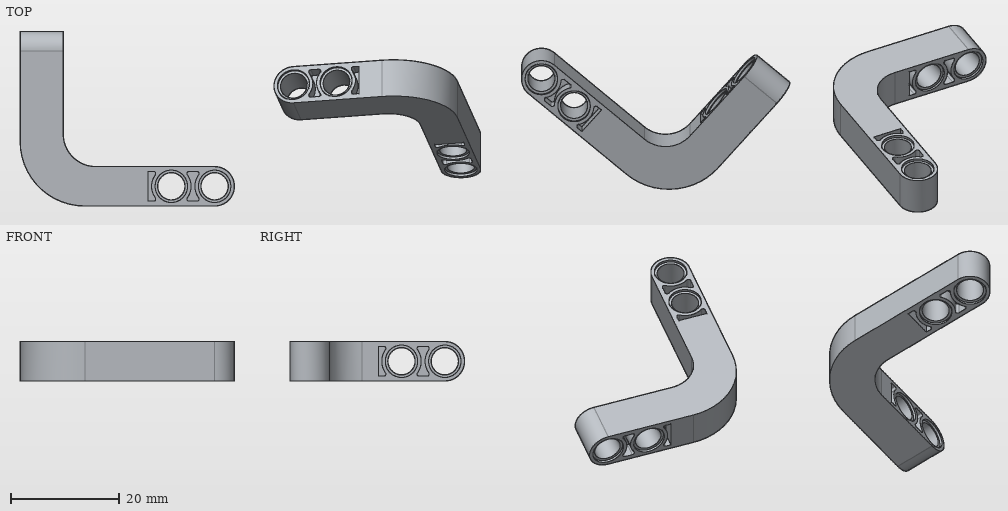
import cadquery as cq

length_x = 39.7
length_y = 32.35
height = 7.35

arm_x_width = height
arm_y_width = 8.0
outer_bend_radius = 12.0
inner_bend_radius = 6.0
end_radius = height / 2

hole_pitch = 8.0
hole_diameter = 5.0
counterbore_diameter = 6.0
counterbore_depth = 0.48
hole_positions = (0, hole_pitch)

collar_radius = 3.65
pocket_width = 5.5
pocket_reach = 4.3
pocket_depth = 2.7
pocket_corner_radius = 0.4


def bent_beam():
    """L-shaped slab with a rounded bend, trimmed to a full round at each arm's end."""
    slab = (
        cq.Workplane("XY")
        .moveTo(outer_bend_radius, 0)
        .lineTo(length_x - end_radius, 0)
        .threePointArc((length_x, end_radius), (length_x - end_radius, arm_x_width))
        .lineTo(arm_y_width + inner_bend_radius, arm_x_width)
        .radiusArc((arm_y_width, arm_x_width + inner_bend_radius), inner_bend_radius)
        .lineTo(arm_y_width, length_y)
        .lineTo(0, length_y)
        .lineTo(0, outer_bend_radius)
        .radiusArc((outer_bend_radius, 0), -outer_bend_radius)
        .close()
        .extrude(height)
    )
    side_outline = (
        cq.Workplane("YZ")
        .lineTo(length_y - end_radius, 0)
        .threePointArc((length_y, end_radius), (length_y - end_radius, height))
        .lineTo(0, height)
        .close()
        .extrude(length_x)
    )
    return slab.intersect(side_outline)


def pockets():
    """Two pockets of one face, cut back by the hole collars and rounded at the collar tips."""
    wall = hole_pitch + pocket_reach
    blocks = (
        cq.Workplane("XY")
        .box(wall, pocket_width, pocket_depth, centered=(False, True, False))
    )
    for position in hole_positions:
        collar = cq.Workplane("XY").center(position, 0).circle(collar_radius).extrude(pocket_depth)
        blocks = blocks.cut(collar)
    return blocks.edges("|Z and (not >X)").fillet(pocket_corner_radius)


def arm_cutters(thickness):
    """Holes and pockets of one arm: end hole at the origin, bend toward +X, faces normal to Z."""
    face_cuts = (
        cq.Workplane("XY")
        .pushPoints([(position, 0) for position in hole_positions])
        .circle(counterbore_diameter / 2)
        .extrude(counterbore_depth)
        .union(pockets())
    )
    opposite_cuts = face_cuts.mirror("XY").translate((0, 0, thickness))
    holes = (
        cq.Workplane("XY")
        .pushPoints([(position, 0) for position in hole_positions])
        .circle(hole_diameter / 2)
        .extrude(thickness)
    )
    return holes.union(face_cuts).union(opposite_cuts)


arm_x_cutters = (
    arm_cutters(height)
    .rotate((0, 0, 0), (0, 0, 1), 180)
    .translate((length_x - end_radius, arm_x_width / 2, 0))
)
arm_y_cutters = (
    arm_cutters(arm_y_width)
    .rotate((0, 0, 0), (0, 0, 1), -90)
    .rotate((0, 0, 0), (0, 1, 0), 90)
    .translate((0, length_y - end_radius, height / 2))
)

result = bent_beam().cut(arm_x_cutters).cut(arm_y_cutters)